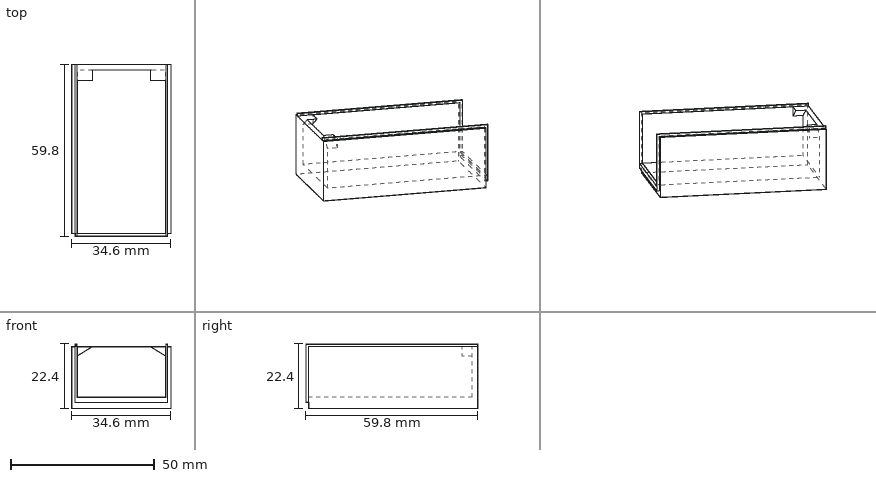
import cadquery as cq

body_width = 34.6
body_length = 58.8
body_height = 21.6
wall = 2.0
floor_thickness = 4.0

tongue_inset = 1.2
tongue_step = 0.15
tongue_rise = 0.85
tongue_projection = 1.0
tongue_bottom = 2.15
tongue_floor_step = tongue_step

corner_width = 5.25
corner_drop = 3.25
corner_depth = 3.55

cavity_width = body_width - 2 * wall
tongue_width = body_width - 2 * tongue_inset
tongue_gap = cavity_width + 2 * tongue_step
tongue_top = body_height + tongue_rise
body_front = -body_length / 2
body_back = body_length / 2
tongue_front = body_front - tongue_projection
cavity_back = body_back - wall


def box(width, y_start, y_end, z_bottom, z_top):
    """Block centred on X that spans the given Y and Z ranges."""
    length = y_end - y_start
    block = cq.Workplane("XY").box(width, length, z_top - z_bottom, centered=(True, False, False))
    return block.translate((0, y_start, z_bottom))


def tray_body():
    outer = box(body_width, body_front, body_back, 0, body_height)
    cavity = box(cavity_width, body_front, cavity_back, floor_thickness, body_height)
    return outer.cut(cavity)


def front_tongue():
    """U-shaped strip standing out from the open front end."""
    outer = box(tongue_width, tongue_front, body_front, tongue_bottom, tongue_top)
    floor_top = floor_thickness - tongue_floor_step
    opening = box(tongue_gap, tongue_front, body_front, floor_top, tongue_top)
    return outer.cut(opening)


def top_rails():
    """Continuation of the tongue along the tops of both side walls."""
    outer = box(tongue_width, body_front, body_back, body_height, tongue_top)
    opening = box(tongue_gap, body_front, body_back, body_height, tongue_top)
    return outer.cut(opening)


def corner_block(side):
    """Triangular wedge between a side wall and the back wall; side is -1 or 1."""
    wall_x = side * cavity_width / 2
    tip_x = wall_x - side * corner_width
    profile = [
        (wall_x, body_height),
        (tip_x, body_height),
        (wall_x, body_height - corner_drop),
    ]
    wedge = cq.Workplane("XZ").polyline(profile).close().extrude(corner_depth)
    return wedge.translate((0, cavity_back, 0))


result = tray_body().union(front_tongue()).union(top_rails())
for side in (-1, 1):
    result = result.union(corner_block(side))